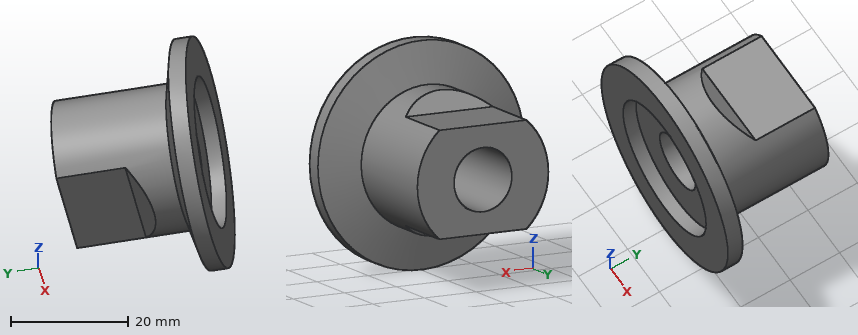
import cadquery as cq

flange_diameter = 40.0
rim_thickness = 3.0
cone_length = 2.0
body_diameter = 25.4
total_length = 25.0

bore_diameter = 11.2
recess_diameter = 26.2
recess_depth = 2.6

across_flats = 19.0
flat_length = 12.0

flange_radius = flange_diameter / 2
body_radius = body_diameter / 2
bore_radius = bore_diameter / 2
recess_radius = recess_diameter / 2
cone_end = rim_thickness + cone_length


def revolved_flange():
    """Revolve the half section, including bore and recess, about Y."""
    section = [
        (recess_radius, 0),
        (flange_radius, 0),
        (flange_radius, rim_thickness),
        (body_radius, cone_end),
        (body_radius, total_length),
        (bore_radius, total_length),
        (bore_radius, recess_depth),
        (recess_radius, recess_depth),
    ]
    return cq.Workplane("XY").polyline(section).close().revolve(360, (0, 0, 0), (0, 1, 0))


def wrench_flat_cutter(side):
    """Wedge above (side = 1) or below (side = -1) the body, with a 45 degree run-out."""
    flat_height = across_flats / 2
    flat_start = total_length - flat_length
    runout = body_radius - flat_height
    profile = [
        (total_length, side * flat_height),
        (flat_start, side * flat_height),
        (flat_start - runout, side * body_radius),
        (total_length, side * body_radius),
    ]
    return cq.Workplane("YZ").polyline(profile).close().extrude(body_radius, both=True)


result = revolved_flange()
for side in (1, -1):
    result = result.cut(wrench_flat_cutter(side))